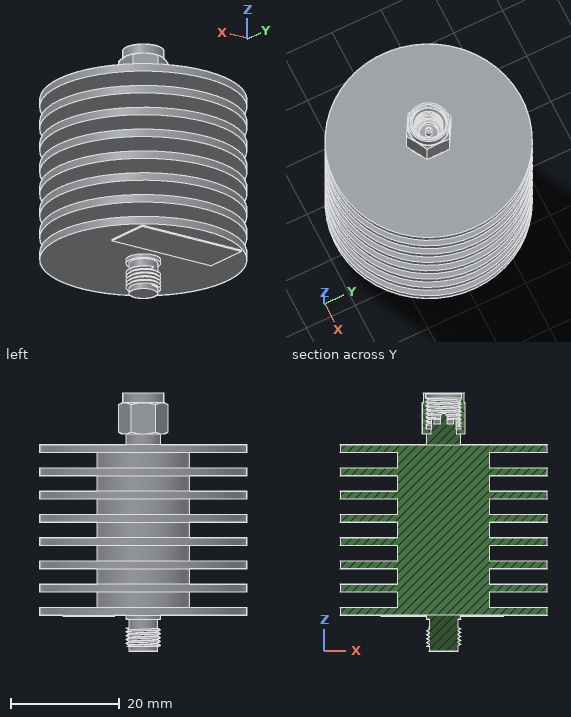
import cadquery as cq
import math

fin_diameter = 38.1
core_diameter = 17.0
fin_count = 8
fin_thickness = 1.45
fin_pitch = 4.28
sink_bottom = 6.6
sink_top = sink_bottom + (fin_count - 1) * fin_pitch + fin_thickness

label_length = 22.5
label_width = 9.45
label_thickness = 0.25
label_center_x = -0.3
label_center_y = 10.0

thread_pitch = 0.7
thread_major_radius = 3.2
thread_minor_radius = 2.65
thread_depth = thread_major_radius - thread_minor_radius
thread_flank_angle = 30
flank_slope = math.tan(math.radians(thread_flank_angle))
ridge_half_base = thread_depth * flank_slope
ridge_embed = 0.05

jack_radius = thread_minor_radius
flange_radius = 3.2
flange_height = 0.7
jack_thread_bottom = 0.85
jack_thread_top = 4.3
jack_thread_start = 0.75
jack_thread_turns = 5
jack_thread_start_angle = 90

nut_bottom = 39.9
nut_top = 47.5
hex_top = 45.7
hex_sides = 6
hex_across_flats = 7.9
hex_corner_diameter = hex_across_flats / math.cos(math.pi / hex_sides)
hex_end_radius = 3.9
hex_chamfer_angle = 30
collar_radius = 3.8
counterbore_radius = 3.3
counterbore_depth = 1.0
rim_chamfer = 0.2
nut_floor = 0.95
nut_thread_start = 41.55
nut_thread_turns = 7
nut_thread_start_angle = 0

stub_radius = 3.2
shell_radius = 2.3
shell_top = 42.75
recess_radius = 1.75
recess_depth = 0.95
recess_chamfer = 0.15
pin_radius = 0.6
pin_tip_chamfer = 0.3
pin_top = 43.7


def cylinder(radius, bottom, top):
    return cq.Workplane("XY").workplane(offset=bottom).circle(radius).extrude(top - bottom)


def thread_ridge(base_radius, crest_radius, start, turns, start_angle):
    """Helical triangular ridge that rises from base_radius to crest_radius."""
    outward = math.copysign(1, crest_radius - base_radius)
    foot_radius = base_radius - outward * ridge_embed
    foot_half = ridge_half_base + ridge_embed * flank_slope
    helix = cq.Wire.makeHelix(thread_pitch, turns * thread_pitch, base_radius)
    ridge = (
        cq.Workplane("XZ")
        .polyline([(foot_radius, -foot_half), (crest_radius, 0), (foot_radius, foot_half)])
        .close()
        .sweep(cq.Workplane(obj=helix), isFrenet=True)
    )
    return ridge.rotate((0, 0, 0), (0, 0, 1), start_angle).translate((0, 0, start))


def make_heat_sink():
    sink = cylinder(core_diameter / 2, sink_bottom, sink_top)
    for index in range(fin_count):
        fin_bottom = sink_bottom + index * fin_pitch
        sink = sink.union(cylinder(fin_diameter / 2, fin_bottom, fin_bottom + fin_thickness))
    return sink


def make_label():
    return (
        cq.Workplane("XY")
        .workplane(offset=sink_bottom - label_thickness)
        .center(label_center_x, label_center_y)
        .rect(label_length, label_width)
        .extrude(label_thickness)
    )


def make_jack():
    ridge = thread_ridge(
        thread_minor_radius,
        thread_major_radius,
        jack_thread_start,
        jack_thread_turns,
        jack_thread_start_angle,
    )
    ridge = ridge.intersect(cylinder(flange_radius + thread_depth, jack_thread_bottom, jack_thread_top))
    barrel = cylinder(jack_radius, 0, sink_bottom)
    flange = cylinder(flange_radius, sink_bottom - flange_height, sink_bottom)
    return barrel.union(flange).union(ridge)


def chamfered_hex():
    """Hexagon with corners on the Y axis, its corners turned down at both ends."""
    hexagon = (
        cq.Workplane("XY")
        .workplane(offset=nut_bottom)
        .polygon(hex_sides, hex_corner_diameter)
        .extrude(hex_top - nut_bottom)
        .rotate((0, 0, 0), (0, 0, 1), 180 / hex_sides)
    )
    corner_radius = hex_corner_diameter / 2
    drop = (corner_radius - hex_end_radius) * math.tan(math.radians(hex_chamfer_angle))
    envelope = (
        cq.Workplane("XZ")
        .polyline([
            (0, nut_bottom),
            (hex_end_radius, nut_bottom),
            (corner_radius, nut_bottom + drop),
            (corner_radius, hex_top - drop),
            (hex_end_radius, hex_top),
            (0, hex_top),
        ])
        .close()
        .revolve(360, (0, 0, 0), (0, 1, 0))
    )
    return hexagon.intersect(envelope)


def make_coupling_nut():
    counterbore_bottom = nut_top - counterbore_depth
    bore_bottom = nut_bottom + nut_floor
    nut = chamfered_hex().union(cylinder(collar_radius, hex_top, nut_top))
    nut = nut.cut(cylinder(shell_radius, nut_bottom, bore_bottom))
    nut = nut.cut(cylinder(thread_major_radius, bore_bottom, counterbore_bottom))
    nut = nut.cut(cylinder(counterbore_radius, counterbore_bottom, nut_top))
    nut = nut.faces(">Z").edges("%CIRCLE").edges(cq.selectors.RadiusNthSelector(0)).chamfer(rim_chamfer)
    ridge = thread_ridge(
        thread_major_radius,
        thread_minor_radius,
        nut_thread_start,
        nut_thread_turns,
        nut_thread_start_angle,
    )
    ridge = ridge.intersect(cylinder(collar_radius, bore_bottom, counterbore_bottom))
    return nut.union(ridge)


def make_plug():
    recess_floor = shell_top - recess_depth
    stub = cylinder(stub_radius, sink_top, nut_bottom)
    shell = cylinder(shell_radius, nut_bottom, shell_top)
    shell = shell.cut(cylinder(recess_radius, recess_floor, shell_top))
    shell = shell.faces(">Z").edges(cq.selectors.RadiusNthSelector(0)).chamfer(recess_chamfer)
    pin = cylinder(pin_radius, recess_floor, pin_top).faces(">Z").chamfer(pin_tip_chamfer)
    return stub.union(shell).union(pin)


heat_sink = make_heat_sink()
label = make_label()
jack = make_jack()
coupling_nut = make_coupling_nut()
plug = make_plug()

result = cq.Compound.makeCompound([
    heat_sink.solids().val(),
    label.solids().val(),
    jack.solids().val(),
    coupling_nut.solids().val(),
    plug.solids().val(),
])